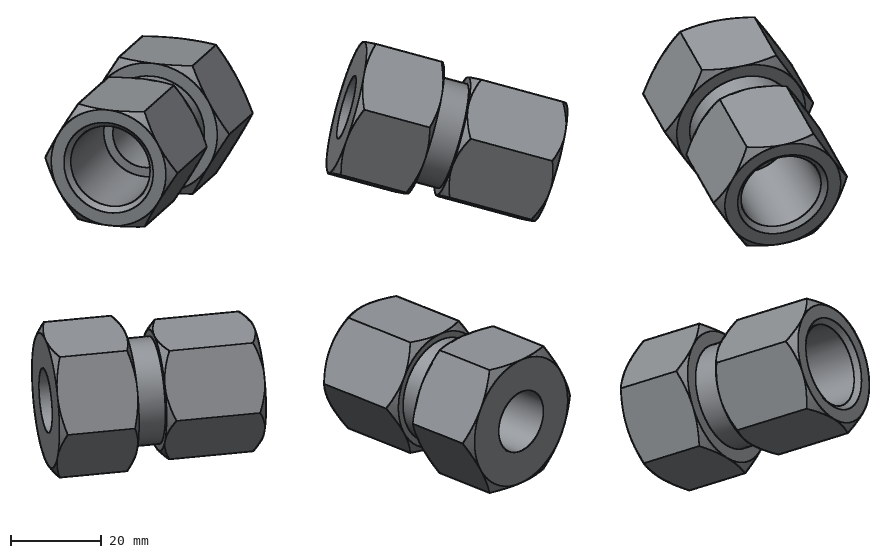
import cadquery as cq
import math

total_length = 47.0
socket_hex_length = 22.48
nut_length = 18.0
nut_start = total_length - nut_length

nut_flats = 30.0
socket_hex_flats = 27.0
neck_diameter = 24.0

nut_chamfer = 1.4
socket_hex_chamfer = 1.8

through_diameter = 14.4
socket_diameter = 18.65
socket_mouth_diameter = 21.0
mouth_depth = 1.18
socket_depth = socket_hex_length


def revolve_about_y(profile):
    """Turn a closed (radius, y) outline around the Y axis."""
    return cq.Workplane("XY").polyline(profile).close().revolve(360, (0, 0, 0), (0, 1, 0))


def chamfered_hex(flats, start, length, chamfer):
    """Hexagon with corners on X, turned at both ends to a circle touching its flats."""
    end = start + length
    flat_radius = flats / 2
    corner_radius = flat_radius / math.cos(math.pi / 6)
    prism = (
        cq.Workplane("XZ", origin=(0, start, 0))
        .polygon(6, 2 * corner_radius)
        .extrude(-length)
    )
    envelope = revolve_about_y([
        (0, start),
        (flat_radius, start),
        (corner_radius, start + chamfer),
        (corner_radius, end - chamfer),
        (flat_radius, end),
        (0, end),
    ])
    return prism.intersect(envelope)


socket_hex = chamfered_hex(
    socket_hex_flats, 0, socket_hex_length, socket_hex_chamfer
)
nut = chamfered_hex(nut_flats, nut_start, nut_length, nut_chamfer)
neck = (
    cq.Workplane("XZ")
    .circle(neck_diameter / 2)
    .extrude(-total_length)
)

bore = revolve_about_y([
    (0, 0),
    (socket_mouth_diameter / 2, 0),
    (socket_diameter / 2, mouth_depth),
    (socket_diameter / 2, socket_depth),
    (through_diameter / 2, socket_depth),
    (through_diameter / 2, total_length),
    (0, total_length),
])

result = neck.union(socket_hex).union(nut).cut(bore)